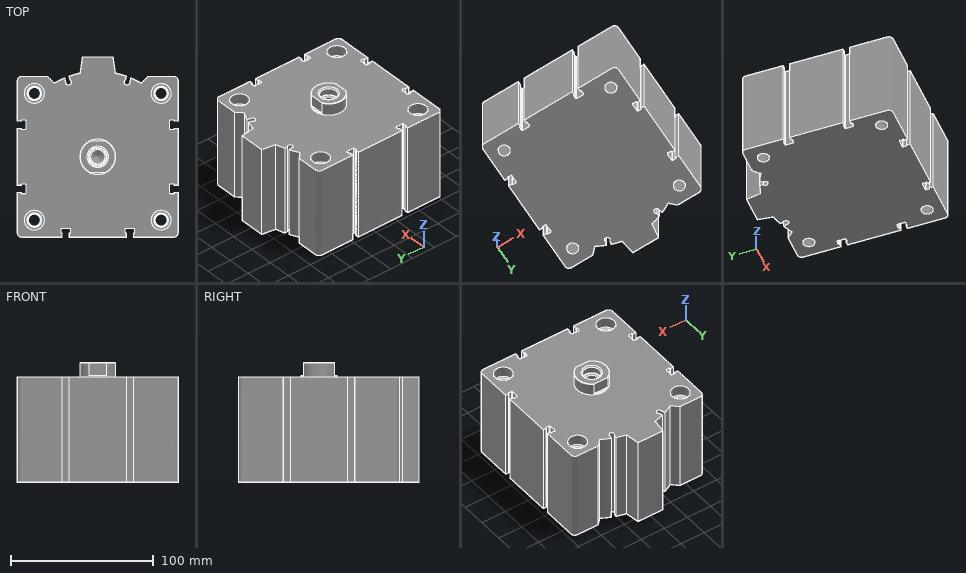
import cadquery as cq
import math

side = 113.0
half_side = side / 2
full_depth = 126.7
housing_height = 74.0
corner_radius = 3.3

rail_tip_y = full_depth - half_side
rail_tip_half_width = 10.8
rail_root_half_width = 12.4
shoulder_radius = 60.0
valley_half_width = 30.5

groove_x = 20.5
groove_y = 52.3
groove_radius = 1.9
groove_mouth_width = 3.2
groove_mouth_length = 7.6
groove_tilt = 12.0

slot_spacing = 45.0
slot_mouth_width = 5.0
slot_mouth_depth = 2.9
slot_head_width = 6.6
slot_depth = 6.1
slot_head_chamfer = 0.4

hole_spacing = 89.0
counterbore_diameter = 14.0
counterbore_depth = 8.7
hole_diameter = 8.4
hole_mouth_diameter = 10.1

rod_diameter = 25.0
rod_protrusion = 10.0
rod_insertion = 30.0
rod_edge_chamfer = 0.3
flat_width = 21.9
flat_height = 9.0
recess_mouth_diameter = 15.0
recess_diameter = 13.0
recess_depth = 6.2
tap_mouth_diameter = 12.0
tap_diameter = 10.1
tap_depth = 24.1
drill_point_angle = 118.0

rod_top = housing_height + rod_protrusion


def on_circle(x):
    """Y of the shoulder circle at the given X."""
    return math.sqrt(shoulder_radius**2 - x**2)


def arc_middle(x_start, x_end):
    """Point of the shoulder circle about halfway between two X positions."""
    x = (x_start + x_end) / 2
    return x, on_circle(x)


def housing_blank():
    valley_y = on_circle(valley_half_width)
    root_y = on_circle(rail_root_half_width)
    ramp_end = valley_half_width + half_side - valley_y
    return (
        cq.Workplane("XY")
        .moveTo(-half_side, -half_side)
        .lineTo(half_side, -half_side)
        .lineTo(half_side, half_side)
        .lineTo(ramp_end, half_side)
        .lineTo(valley_half_width, valley_y)
        .threePointArc(arc_middle(valley_half_width, rail_root_half_width), (rail_root_half_width, root_y))
        .lineTo(rail_tip_half_width, rail_tip_y)
        .lineTo(-rail_tip_half_width, rail_tip_y)
        .lineTo(-rail_root_half_width, root_y)
        .threePointArc(arc_middle(-rail_root_half_width, -valley_half_width), (-valley_half_width, valley_y))
        .lineTo(-ramp_end, half_side)
        .lineTo(-half_side, half_side)
        .close()
        .extrude(housing_height)
        .edges("|Z and (<X or >X)")
        .fillet(corner_radius)
    )


def t_slot(offset):
    """T-slot cutter opening through the -Y face, centred on X = offset."""
    head_depth = slot_depth - slot_mouth_depth
    mouth = (
        cq.Workplane("XY")
        .center(offset, -half_side + slot_mouth_depth / 2)
        .rect(slot_mouth_width, slot_mouth_depth)
        .extrude(housing_height)
    )
    head = (
        cq.Workplane("XY")
        .center(offset, -half_side + slot_mouth_depth + head_depth / 2)
        .rect(slot_head_width, head_depth)
        .extrude(housing_height)
        .edges("|Z and >Y")
        .chamfer(slot_head_chamfer)
    )
    return mouth.union(head)


def keyhole_groove():
    """Round groove on the +X shoulder; the outer mouth wall is tangent to the round bottom."""
    mouth = (
        cq.Workplane("XY")
        .center(groove_radius - groove_mouth_width / 2, groove_mouth_length / 2)
        .rect(groove_mouth_width, groove_mouth_length)
        .extrude(housing_height)
    )
    return (
        cq.Workplane("XY")
        .circle(groove_radius)
        .extrude(housing_height)
        .union(mouth)
        .rotate((0, 0, 0), (0, 0, 1), -groove_tilt)
        .translate((groove_x, groove_y, 0))
    )


def mounting_hole():
    """Counterbored through hole whose thread mouth is chamfered at 45 degrees."""
    floor = housing_height - counterbore_depth
    chamfer = (hole_mouth_diameter - hole_diameter) / 2
    return (
        cq.Workplane("XZ")
        .polyline([
            (0, 0),
            (hole_diameter / 2, 0),
            (hole_diameter / 2, floor - chamfer),
            (hole_mouth_diameter / 2, floor),
            (counterbore_diameter / 2, floor),
            (counterbore_diameter / 2, housing_height),
            (0, housing_height),
        ])
        .close()
        .revolve(360, (0, 0, 0), (0, 1, 0))
    )


def rod_cylinder():
    return (
        cq.Workplane("XY")
        .workplane(offset=housing_height - rod_insertion)
        .circle(rod_diameter / 2)
        .extrude(rod_insertion + rod_protrusion)
    )


def build_housing():
    housing = housing_blank()
    for quarter_turn in (-90, 0, 90):
        for offset in (-slot_spacing / 2, slot_spacing / 2):
            housing = housing.cut(t_slot(offset).rotate((0, 0, 0), (0, 0, 1), quarter_turn))
    groove = keyhole_groove()
    housing = housing.cut(groove).cut(groove.mirror("YZ"))
    for x in (-hole_spacing / 2, hole_spacing / 2):
        for y in (-hole_spacing / 2, hole_spacing / 2):
            housing = housing.cut(mounting_hole().translate((x, y, 0)))
    return housing.cut(rod_cylinder())


def rod_bore():
    """Chamfered recess, then a tapped hole with a countersunk mouth and a drill point."""
    recess_chamfer = (recess_mouth_diameter - recess_diameter) / 2
    recess_floor = rod_top - recess_depth
    tap_chamfer = (tap_mouth_diameter - tap_diameter) / 2
    tap_end = rod_top - tap_depth
    point_length = tap_diameter / 2 / math.tan(math.radians(drill_point_angle / 2))
    return (
        cq.Workplane("XZ")
        .polyline([
            (0, tap_end - point_length),
            (tap_diameter / 2, tap_end),
            (tap_diameter / 2, recess_floor - tap_chamfer),
            (tap_mouth_diameter / 2, recess_floor),
            (recess_diameter / 2, recess_floor),
            (recess_diameter / 2, rod_top - recess_chamfer),
            (recess_mouth_diameter / 2, rod_top),
            (0, rod_top),
        ])
        .close()
        .revolve(360, (0, 0, 0), (0, 1, 0))
    )


def build_rod():
    flats = (
        cq.Workplane("XY")
        .workplane(offset=rod_top - flat_height)
        .rect(2 * rod_diameter, 2 * rod_diameter)
        .rect(2 * rod_diameter, flat_width)
        .extrude(flat_height)
    )
    rod = rod_cylinder().faces(">Z").edges().chamfer(rod_edge_chamfer)
    return rod.cut(flats).cut(rod_bore())


housing = build_housing()
rod = build_rod()
result = cq.Compound.makeCompound([housing.val(), rod.val()])